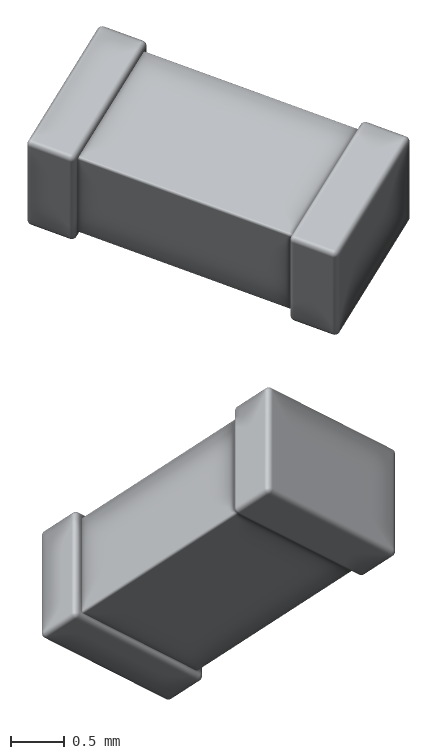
import cadquery as cq

length = 3.2
width = 1.6
height = 1.2

cap_length = 0.5
cap_fillet = 0.05

body_ratio = 0.9
body_width = body_ratio * width
body_height = body_ratio * height
body_fillet = 0.025


def end_cap(side):
    """Fully rounded cap at the -X (side=-1) or +X (side=1) end."""
    center_x = side * (length - cap_length) / 2
    cap = cq.Workplane("XY").box(cap_length, width, height)
    return cap.edges().fillet(cap_fillet).translate((center_x, 0, 0))


def central_body():
    """Bar with rounded long edges, ending at the middle of each cap."""
    body_length = length - cap_length
    body = cq.Workplane("XY").box(body_length, body_width, body_height)
    return body.edges("|X").fillet(body_fillet)


result = central_body()
for side in (-1, 1):
    result = result.union(end_cap(side))